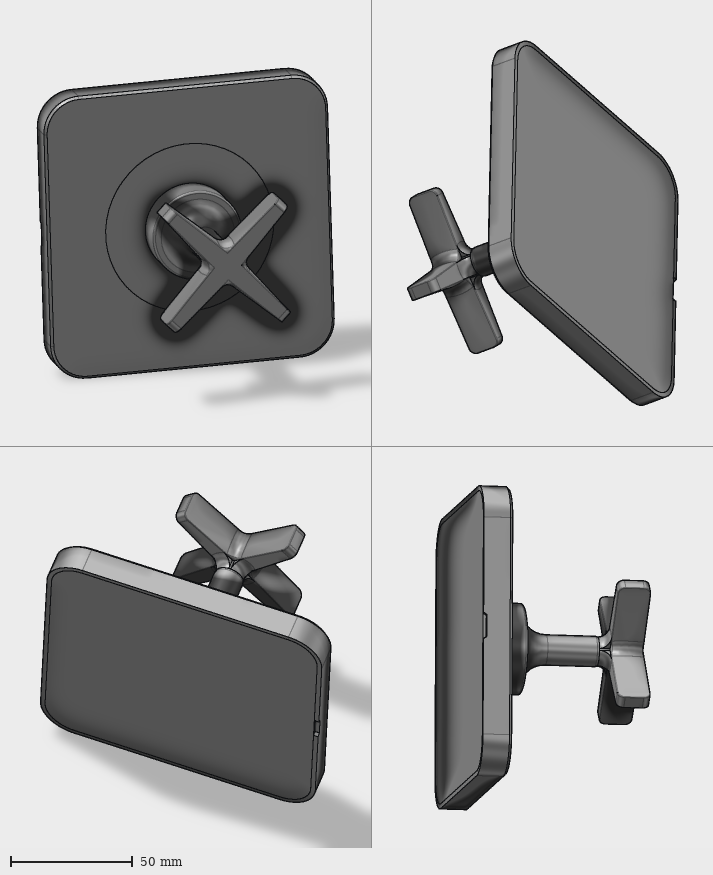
import cadquery as cq
ROLL_ANGLE = 1.8
YAW_ANGLE = -5.7

PLATE_SIDE = 120.1
PLATE_THICKNESS = 12.1
PLATE_CORNER_RADIUS = 15.0
BACK_CHAMFER = 1.1

RIM_WIDTH = 2.0
PANEL_THICKNESS = 1.4

NOTCH_FLOOR_LENGTH = 8.9
NOTCH_END_RUN = 1.0
NOTCH_MOUTH_LENGTH = NOTCH_FLOOR_LENGTH + 2 * NOTCH_END_RUN

FLANGE_DIAMETER = 71.2
FLANGE_THICKNESS = 2.0
BOSS_DIAMETER = 37.6
BOSS_LENGTH = 13.4
BOSS_EDGE_RADIUS = 0.9
STEM_DIAMETER = 12.6
STEM_END = 57.2
STEM_END_CHAMFER_LENGTH = 0.9
STEM_END_CHAMFER_HEIGHT = 0.25
FLARE_LENGTH = 10.2
FLARE_HEIGHT = 9.2

ARM_REAR = 61.6
ARM_WIDTH = 13.7
ARM_LENGTH = 34.8
TIP_THICKNESS = 5.4
ROOT_THICKNESS = 8.8
ROOT_BULGE = 1.5
TIP_BULGE = 0.05
TIP_CORNER_RADIUS = 3.0
ARM_EDGE_RADIUS = 0.3
ARM_JOIN_RADIUS = 4.8
ARM_COUNT = 4
FIRST_ARM_ANGLE = 45.0

boss_back = PLATE_THICKNESS + BOSS_LENGTH
stem_radius = STEM_DIAMETER / 2
hub_radius = stem_radius - STEM_END_CHAMFER_HEIGHT
hub_length = ARM_REAR - STEM_END

AXIS_START = (0, 0, 0)
AXIS_END = (1, 0, 0)


def across_axis(x):
    """Workplane square to the common axis at distance x, with local axes along Y and Z."""
    return cq.Workplane("YZ", origin=(x, 0, 0))


def rounded_square(x, side, corner_radius, thickness):
    return across_axis(x).rect(side, side).extrude(thickness).edges("|X").fillet(corner_radius)


def make_panel():
    side = PLATE_SIDE - 2 * RIM_WIDTH
    return rounded_square(0, side, PLATE_CORNER_RADIUS - RIM_WIDTH, PANEL_THICKNESS)


def make_notch_cutter():
    outer_y = -PLATE_SIDE / 2
    return (
        cq.Workplane("XZ", origin=(0, outer_y, 0))
        .moveTo(0, -NOTCH_MOUTH_LENGTH / 2)
        .lineTo(PANEL_THICKNESS, -NOTCH_FLOOR_LENGTH / 2)
        .lineTo(PANEL_THICKNESS, NOTCH_FLOOR_LENGTH / 2)
        .lineTo(0, NOTCH_MOUTH_LENGTH / 2)
        .close()
        .extrude(-RIM_WIDTH)
    )


def make_housing():
    plate = rounded_square(0, PLATE_SIDE, PLATE_CORNER_RADIUS, PLATE_THICKNESS)
    plate = plate.faces(">X").edges().chamfer(BACK_CHAMFER)
    flange_recess = (
        across_axis(PLATE_THICKNESS - FLANGE_THICKNESS)
        .circle(FLANGE_DIAMETER / 2)
        .extrude(FLANGE_THICKNESS)
    )
    return plate.cut(make_panel()).cut(make_notch_cutter()).cut(flange_recess)


def make_mount():
    flange_front = PLATE_THICKNESS - FLANGE_THICKNESS
    boss_radius = BOSS_DIAMETER / 2
    outline = (
        cq.Workplane("XY")
        .moveTo(flange_front, 0)
        .lineTo(flange_front, FLANGE_DIAMETER / 2)
        .lineTo(PLATE_THICKNESS, FLANGE_DIAMETER / 2)
        .lineTo(PLATE_THICKNESS, boss_radius)
        .lineTo(boss_back - BOSS_EDGE_RADIUS, boss_radius)
        .radiusArc((boss_back, boss_radius - BOSS_EDGE_RADIUS), BOSS_EDGE_RADIUS)
        .lineTo(boss_back, stem_radius + FLARE_HEIGHT)
        .ellipseArc(FLARE_LENGTH, FLARE_HEIGHT, 180, 270, startAtCurrent=True)
        .lineTo(STEM_END - STEM_END_CHAMFER_LENGTH, stem_radius)
        .lineTo(STEM_END, hub_radius)
        .lineTo(STEM_END, 0)
        .close()
    )
    return outline.revolve(360, AXIS_START, AXIS_END)


def arm_section(workplane, thickness, bulge):
    """Cross-section of an arm: straight front and rear edges, bowed flanks."""
    half = thickness / 2
    middle = ARM_REAR + ARM_WIDTH / 2
    front = ARM_REAR + ARM_WIDTH
    return (
        workplane.moveTo(ARM_REAR, -half)
        .threePointArc((middle, -half - bulge), (front, -half))
        .lineTo(front, half)
        .threePointArc((middle, half + bulge), (ARM_REAR, half))
        .close()
    )


def make_arm(angle):
    root = arm_section(cq.Workplane("XZ"), ROOT_THICKNESS, ROOT_BULGE)
    arm = arm_section(root.workplane(offset=-ARM_LENGTH), TIP_THICKNESS, TIP_BULGE).loft(ruled=True)
    arm = arm.faces(">Y").edges("|Z").fillet(TIP_CORNER_RADIUS)
    arm = arm.faces(">Y").edges().fillet(ARM_EDGE_RADIUS)
    return arm.rotate(AXIS_START, AXIS_END, angle)


def make_hub():
    """Short cylinder that meets the stem end and runs into the arms."""
    return across_axis(STEM_END).circle(hub_radius).extrude(hub_length + ARM_WIDTH / 2)


def make_hub_flare(arms):
    """Concave flare from the hub to the rear of the arms, trimmed to the outline of the arms."""
    flare = (
        cq.Workplane("XY")
        .moveTo(STEM_END, 0)
        .lineTo(STEM_END, hub_radius)
        .radiusArc((ARM_REAR, hub_radius + hub_length), -hub_length)
        .lineTo(ARM_REAR, 0)
        .close()
        .revolve(360, AXIS_START, AXIS_END)
    )
    arm_outline = arms.faces("<X").wires().toPending().workplane().extrude(hub_length, combine=False)
    return flare.intersect(arm_outline)


def make_knob():
    arms = make_arm(FIRST_ARM_ANGLE)
    for index in range(1, ARM_COUNT):
        arms = arms.union(make_arm(FIRST_ARM_ANGLE + index * 360 / ARM_COUNT))
    join_zone = ARM_LENGTH / 3
    inner_edges = cq.selectors.BoxSelector(
        (ARM_REAR, -join_zone, -join_zone),
        (ARM_REAR + ARM_WIDTH, join_zone, join_zone),
    )
    joins = arms.edges(inner_edges).edges("not(<X or >X)")
    arms = joins.fillet(ARM_JOIN_RADIUS)
    return arms.union(make_hub_flare(arms)).union(make_hub())


def in_place(body):
    return body.rotate(AXIS_START, AXIS_END, ROLL_ANGLE).rotate((0, 0, 0), (0, 0, 1), YAW_ANGLE)


housing = in_place(make_housing())
panel = in_place(make_panel())
mount = in_place(make_mount())
knob = in_place(make_knob())
result = cq.Compound.makeCompound([housing.val(), panel.val(), mount.val(), knob.val()])